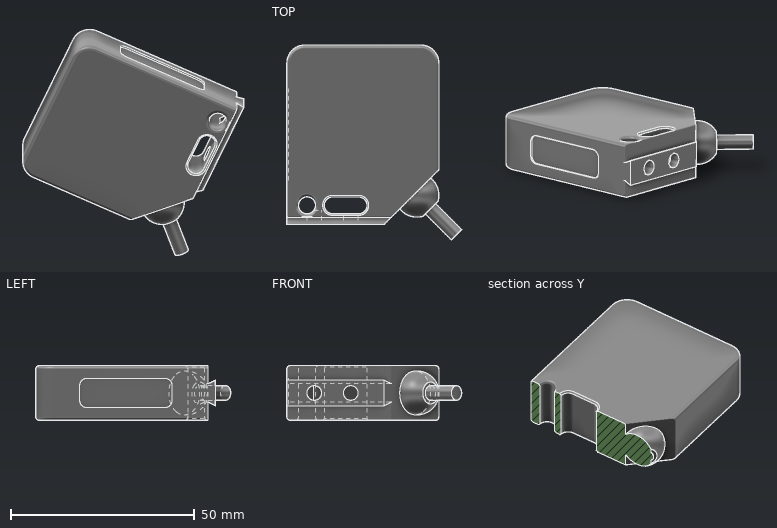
import cadquery as cq
import math

LENGTH_X = 41.5
LENGTH_Y = 47.0
THICKNESS = 15.0
CORNER_CUT = 13.0
CORNER_RADIUS = 5.0
RIM_RADIUS = 1.0
SMALL_EDGE_RADIUS = 0.25

RAIL_HEIGHT = 2.0
RAIL_ROOT_WIDTH = 5.05
RAIL_TIP_WIDTH = 7.0
RAIL_HOLE_DIAMETER = 4.0
RAIL_HOLE_DEPTH = 3.85
RAIL_HOLES_X = (7.5, 17.45)

MOUNT_Y = 3.25
HOLE_X = 5.55
HOLE_DIAMETER = 4.6
HOLE_EDGE_RADIUS = 1.0
SLOT_X = 16.1
SLOT_LENGTH = 11.6
SLOT_WIDTH = 4.5
SLOT_EDGE_CHAMFER = 0.5

WINDOW_Y = 22.4
WINDOW_LENGTH = 25.25
WINDOW_HEIGHT = 8.0
WINDOW_CORNER_RADIUS = 2.0
WINDOW_DEPTH = 0.5

DOME_RADIUS = 6.0
DOME_CENTER_OFFSET = 0.7
DOME_TIP_RADIUS = 3.0
CABLE_DIAMETER = 4.0
CABLE_REACH = 15.95

CUT_START_X = LENGTH_X - CORNER_CUT


def make_housing():
    outline = [
        (0, 0),
        (CUT_START_X, 0),
        (LENGTH_X, CORNER_CUT),
        (LENGTH_X, LENGTH_Y),
        (0, LENGTH_Y),
    ]
    plate = cq.Workplane("XY").polyline(outline).close().extrude(THICKNESS / 2, both=True)
    plate = plate.edges("|Z and >Y").fillet(CORNER_RADIUS)

    side_rims = cq.selectors.BoxSelector(
        (-0.55, CORNER_CUT, -THICKNESS), (LENGTH_X + 0.55, LENGTH_Y + 0.55, THICKNESS)
    )
    plate = plate.edges("#Z").edges(side_rims).fillet(RIM_RADIUS)
    rail_face_and_cut = plate.faces("<Y or <(-1, 1, 0)")
    return rail_face_and_cut.edges().fillet(SMALL_EDGE_RADIUS)


def make_rail():
    root = RAIL_ROOT_WIDTH / 2
    tip = RAIL_TIP_WIDTH / 2
    sunk = SMALL_EDGE_RADIUS
    profile = [(sunk, -root), (0, -root), (-RAIL_HEIGHT, -tip), (-RAIL_HEIGHT, tip), (0, root), (sunk, root)]
    rail = cq.Workplane("YZ").polyline(profile).close().extrude(CUT_START_X + sunk)
    kept = [
        (0, sunk),
        (CUT_START_X + sunk, sunk),
        (CUT_START_X - RAIL_HEIGHT, -RAIL_HEIGHT),
        (0, -RAIL_HEIGHT),
    ]
    return rail.intersect(cq.Workplane("XY").polyline(kept).close().extrude(THICKNESS, both=True))


def make_rail_holes():
    centers = [(x, 0) for x in RAIL_HOLES_X]
    plane = cq.Workplane("XZ", origin=(0, -RAIL_HEIGHT, 0))
    return plane.pushPoints(centers).circle(RAIL_HOLE_DIAMETER / 2).extrude(-RAIL_HOLE_DEPTH)


def make_mounting_hole():
    """Through-hole cutter whose two mouths flare with a rounded edge."""
    radius = HOLE_DIAMETER / 2
    mouth = radius + HOLE_EDGE_RADIUS
    top = THICKNESS / 2
    neck = top - HOLE_EDGE_RADIUS
    bulge = HOLE_EDGE_RADIUS * (1 - math.sqrt(0.5))
    profile = (
        cq.Workplane("XZ")
        .moveTo(0, -top)
        .lineTo(mouth, -top)
        .threePointArc((radius + bulge, -top + bulge), (radius, -neck))
        .lineTo(radius, neck)
        .threePointArc((radius + bulge, top - bulge), (mouth, top))
        .lineTo(0, top)
        .close()
    )
    return profile.revolve(360, (0, 0), (0, 1)).translate((HOLE_X, MOUNT_Y, 0))


def make_slot():
    """Through-slot cutter whose two mouths are chamfered."""
    slot = cq.Workplane("XY").slot2D(SLOT_LENGTH, SLOT_WIDTH).extrude(THICKNESS / 2, both=True)
    flare = 2 * SLOT_EDGE_CHAMFER
    mouth = (
        cq.Workplane("XY", origin=(0, 0, THICKNESS / 2))
        .slot2D(SLOT_LENGTH + flare, SLOT_WIDTH + flare)
        .extrude(-SLOT_EDGE_CHAMFER, taper=45)
    )
    slot = slot.union(mouth).union(mouth.mirror("XY"))
    return slot.translate((SLOT_X, MOUNT_Y, 0))


def make_window():
    window = cq.Workplane("YZ").center(WINDOW_Y, 0).rect(WINDOW_LENGTH, WINDOW_HEIGHT)
    return window.extrude(WINDOW_DEPTH).edges("|X").fillet(WINDOW_CORNER_RADIUS)


def make_cable_outlet():
    """Truncated dome and cable, turned about the normal of the cut corner."""
    tip = DOME_CENTER_OFFSET + math.sqrt(DOME_RADIUS**2 - DOME_TIP_RADIUS**2)
    base_radius = math.sqrt(DOME_RADIUS**2 - DOME_CENTER_OFFSET**2)
    arc_middle = DOME_RADIUS * math.sqrt(0.5)
    cable_radius = CABLE_DIAMETER / 2
    normal_plane = cq.Plane(
        origin=(CUT_START_X + CORNER_CUT / 2, CORNER_CUT / 2, 0), xDir=(0, 0, 1), normal=(1, 1, 0)
    )
    return (
        cq.Workplane(normal_plane)
        .lineTo(base_radius, 0)
        .threePointArc((arc_middle, DOME_CENTER_OFFSET + arc_middle), (DOME_TIP_RADIUS, tip))
        .lineTo(cable_radius, tip)
        .lineTo(cable_radius, CABLE_REACH)
        .lineTo(0, CABLE_REACH)
        .close()
        .revolve(360, (0, 0), (0, 1))
    )


result = (
    make_housing()
    .union(make_rail())
    .union(make_cable_outlet())
    .cut(make_rail_holes())
    .cut(make_mounting_hole())
    .cut(make_slot())
    .cut(make_window())
)